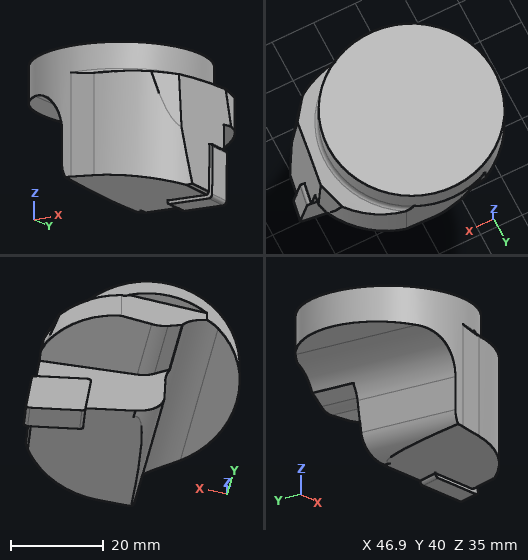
import cadquery as cq
import math


disc_radius = 20.0
disc_height = 6.0
head_length = 35.0
overcut = 60.0

blend_radius = 1.0
shoulder_slope = math.radians(10)
cone_radius = 32.0
blend_end_radius = disc_radius + blend_radius * (1 - math.sin(shoulder_slope))
blend_end_z = -disc_height - blend_radius * math.cos(shoulder_slope)

far_flat_y = 18.0
near_arc_radius = 22.0
near_arc_end_y = -5.0
far_arc_radius = 20.3
far_arc_center = (6.1, -1.85)
far_arc_start_y = -1.0

underside_slope = math.radians(5)
neck_x = -2.5
neck_arc_radius = 10.0
neck_arc_end_z = -18.6
heel_radius = 6.0
heel_arc_start_z = -26.1

insert_edge = 12.9
insert_thickness = 4.76
insert_half_angle = math.radians(80 / 2)
insert_corner_radius = 0.8
nose_reach_x = 26.87
nose_y = 0.15
insert_lean_x = 0.15
insert_lean_z = 0.125

insert_overhang = 0.91
lobe_tip_chamfer = 0.85

gullet_entry_x = -3.2
gullet_entry_z = -14.7
gullet_entry_slope = math.radians(35)
gullet_exit_x = 25.07
gullet_exit_z = -16.0
gullet_exit_slope = math.radians(5)
gullet_root_radius = 5.5

near_relief = [(18.4, -15.8, -7.5), (22.2, -10.7, -7.5), (23.05, -11.7, -20.0)]
far_relief = [(22.07, 10.69, -7.45), (24.15, 3.46, -7.4), (25.12, 4.16, -16.1)]

rake_normal = cq.Vector(insert_lean_x, 1, -insert_lean_z).normalized()
nose_center = cq.Vector(
    nose_reach_x - insert_corner_radius * math.sqrt(1 - rake_normal.x**2),
    nose_y,
    -head_length + insert_corner_radius * math.sqrt(1 - rake_normal.z**2),
)
diagonal = cq.Vector(1, 0, -1)
diagonal = (diagonal - rake_normal * diagonal.dot(rake_normal)).normalized()
sharp_tip = nose_center + diagonal * (insert_corner_radius / math.sin(insert_half_angle))
insert_plane = cq.Plane(origin=sharp_tip, xDir=diagonal, normal=rake_normal)


def block_beyond(point, normal):
    """Large block that fills the side of a plane its normal points to."""
    plane = cq.Plane(origin=point, normal=normal)
    return cq.Workplane(plane).rect(2 * overcut, 2 * overcut).extrude(overcut)


def relief_block(points):
    """Everything outside (on the +X side of) the plane through three points."""
    first, second, third = [cq.Vector(*point) for point in points]
    normal = (second - first).cross(third - first).normalized()
    outward = normal if normal.x > 0 else normal * -1
    return block_beyond(first, outward)


def make_insert():
    half_long = insert_edge * math.cos(insert_half_angle)
    half_wide = insert_edge * math.sin(insert_half_angle)
    rhombus = [(0, 0), (-half_long, half_wide), (-2 * half_long, 0), (-half_long, -half_wide)]
    blank = cq.Workplane(insert_plane).polyline(rhombus).close().extrude(-insert_thickness)
    corners = cq.selectors.ParallelDirSelector(rake_normal)
    return blank.edges(corners).fillet(insert_corner_radius).solids()


def make_lobe():
    """Lobe as a prism with the plan outline, below the disc."""
    near_x = math.sqrt(blend_end_radius**2 - disc_radius**2)
    near_center_y = near_arc_radius - disc_radius
    near_end_x = near_x + math.sqrt(near_arc_radius**2 - (near_arc_end_y - near_center_y) ** 2)
    far_x, far_y = far_arc_center
    far_start_x = far_x + math.sqrt(far_arc_radius**2 - (far_arc_start_y - far_y) ** 2)
    far_end_x = far_x + math.sqrt(far_arc_radius**2 - (far_flat_y - far_y) ** 2)
    return (
        cq.Workplane("XY", origin=(0, 0, -disc_height))
        .moveTo(0, -disc_radius)
        .lineTo(near_x, -disc_radius)
        .radiusArc((near_end_x, near_arc_end_y), -near_arc_radius)
        .lineTo(far_start_x, far_arc_start_y)
        .radiusArc((far_end_x, far_flat_y), -far_arc_radius)
        .lineTo(0, far_flat_y)
        .close()
        .extrude(-overcut)
    )


def make_shoulder_envelope():
    """Turned envelope: disc side, concave blend and shoulder cone."""
    cone_rim_z = blend_end_z - (cone_radius - blend_end_radius) * math.tan(shoulder_slope)
    return (
        cq.Workplane("XZ")
        .lineTo(disc_radius, 0)
        .lineTo(disc_radius, -disc_height)
        .radiusArc((blend_end_radius, blend_end_z), -blend_radius)
        .lineTo(cone_radius, cone_rim_z)
        .lineTo(cone_radius, -overcut)
        .lineTo(0, -overcut)
        .close()
        .revolve(360, (0, 0, 0), (0, 1, 0))
    )


def make_underside_envelope():
    """Prism along Y that gives the disc underside, the neck curve and the heel."""
    arc_start_x = neck_x - neck_arc_radius * (1 - math.sin(underside_slope))
    arc_start_z = neck_arc_end_z + neck_arc_radius * math.cos(underside_slope)
    outer_z = arc_start_z + (arc_start_x + overcut) * math.tan(underside_slope)
    heel_end_x = neck_x + heel_radius
    heel_end_z = heel_arc_start_z - heel_radius
    return (
        cq.Workplane("XZ")
        .moveTo(-overcut, 0)
        .lineTo(-overcut, outer_z)
        .lineTo(arc_start_x, arc_start_z)
        .radiusArc((neck_x, neck_arc_end_z), neck_arc_radius)
        .lineTo(neck_x, heel_arc_start_z)
        .radiusArc((heel_end_x, heel_end_z), -heel_radius)
        .lineTo(heel_end_x, -overcut)
        .lineTo(overcut, -overcut)
        .lineTo(overcut, 0)
        .close()
        .extrude(overcut, both=True)
    )


def make_flank_envelope():
    """Wedge along the insert axis that bounds the lobe flank, bottom and tip chamfer."""
    apex_x = -insert_overhang / math.sin(insert_half_angle)
    half_chamfer = lobe_tip_chamfer / 2
    chamfer_x = apex_x - half_chamfer / math.tan(insert_half_angle)
    wing_x = apex_x - overcut * math.cos(insert_half_angle)
    wing_y = overcut * math.sin(insert_half_angle)
    outline = [
        (chamfer_x, half_chamfer),
        (wing_x, wing_y),
        (2 * wing_x, 0),
        (wing_x, -wing_y),
        (chamfer_x, -half_chamfer),
    ]
    return cq.Workplane(insert_plane).polyline(outline).close().extrude(overcut, both=True)


def make_gullet():
    """Space in front of the rake face, below the sloping gullet roof."""
    entry_fall = math.tan(gullet_entry_slope)
    exit_rise = math.tan(gullet_exit_slope)
    level_gap = gullet_entry_z - gullet_exit_z + gullet_entry_x * entry_fall + gullet_exit_x * exit_rise
    corner_x = level_gap / (entry_fall + exit_rise)
    corner_z = gullet_entry_z - (corner_x - gullet_entry_x) * entry_fall
    setback = gullet_root_radius * math.tan((gullet_entry_slope + gullet_exit_slope) / 2)
    root_start = (
        corner_x - setback * math.cos(gullet_entry_slope),
        corner_z + setback * math.sin(gullet_entry_slope),
    )
    root_end = (
        corner_x + setback * math.cos(gullet_exit_slope),
        corner_z + setback * math.sin(gullet_exit_slope),
    )
    roof = (
        cq.Workplane("XZ")
        .moveTo(-overcut, gullet_entry_z)
        .lineTo(gullet_entry_x, gullet_entry_z)
        .lineTo(*root_start)
        .radiusArc(root_end, -gullet_root_radius)
        .lineTo(overcut, corner_z + (overcut - corner_x) * exit_rise)
        .lineTo(overcut, -overcut)
        .lineTo(-overcut, -overcut)
        .close()
        .extrude(overcut, both=True)
    )
    return roof.intersect(block_beyond(sharp_tip, rake_normal))


def make_head(pocketed_insert):
    below_disc = cq.Workplane("XY", origin=(0, 0, -disc_height))
    far_flat = (
        below_disc.center(0, far_flat_y + overcut / 2).rect(2 * overcut, overcut).extrude(-overcut)
    )
    lobe_zone = below_disc.center(neck_x + overcut / 2, 0).rect(overcut, 2 * overcut).extrude(-overcut)

    head = cq.Workplane("XY").circle(disc_radius).extrude(-overcut)
    head = head.union(make_lobe()).cut(far_flat)
    head = head.intersect(make_shoulder_envelope()).intersect(make_underside_envelope())
    head = head.cut(lobe_zone.cut(make_flank_envelope()))
    for relief in (near_relief, far_relief):
        head = head.cut(relief_block(relief))
    return head.cut(make_gullet()).cut(pocketed_insert).solids()


insert = make_insert()
head = make_head(insert)

result = cq.Compound.makeCompound([head.val(), insert.val()])